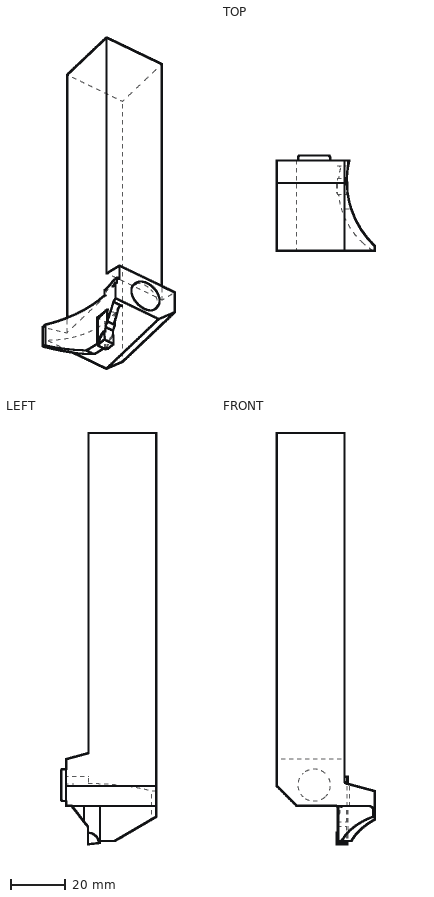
import cadquery as cq
import math

shank_size = 25.0
tip_to_end = 151.35

head_bottom = 14.2
head_depth = 33.25
head_right = 36.05
corner_chamfer = 7.3
shoulder_angle = 15.0
shoulder_fillet = 0.5
right_shoulder_z = 22.6
back_shoulder_z = 33.6
shoulder_slope = math.tan(math.radians(shoulder_angle))

ledge_right = 26.2
ledge_top = 24.9

convex_radius = 28.0
convex_center_y = 23.5
convex_left = 22.6
hollow_radius = 32.5
hollow_center_y = 25.5
hollow_left = 25.8
blade_bottom = 1.2
blade_front_z = 10.2
blade_heel_y = 15.4
blade_root_fillet = 1.2
select_margin = 0.1

insert_center_x = 24.0
insert_width = 3.4
insert_tip_width = 4.2
insert_bottom_y = 20.7
insert_top_y = 26.6
rake_y = 25.2
rake_end_z = 6.5
jaw_foot_z = 8.2
jaw_root_y = 31.2
end_relief = 0.5
tip_flank_y = 21.2
tip_flank_z = 4.3

screw_diameter = 11.86
screw_x = 13.75
screw_z = 21.8
screw_height = 1.85
screw_edge_round = 0.8


def upright_cylinder(radius, left_x, center_y):
    """Cylinder along Z whose leftmost line is at left_x, as tall as the tool."""
    return (
        cq.Workplane("XY")
        .center(left_x + radius, center_y)
        .circle(radius)
        .extrude(tip_to_end)
    )


def make_body():
    """Shank and head: the shared part of a front and a side outline, with the ledge."""
    side_reach = head_right - shank_size
    front_outline = (
        cq.Workplane("XZ")
        .moveTo(corner_chamfer, head_bottom)
        .lineTo(head_right, head_bottom)
        .lineTo(head_right, right_shoulder_z - side_reach * shoulder_slope)
        .lineTo(shank_size, right_shoulder_z)
        .lineTo(shank_size, tip_to_end)
        .lineTo(0, tip_to_end)
        .lineTo(0, head_bottom + corner_chamfer)
        .close()
        .extrude(-head_depth)
    )
    front_corner = cq.selectors.NearestToPointSelector((shank_size, head_depth / 2, right_shoulder_z))
    front_outline = front_outline.edges(front_corner).fillet(shoulder_fillet)
    back_reach = head_depth - shank_size
    side_outline = (
        cq.Workplane("YZ")
        .moveTo(0, head_bottom)
        .lineTo(head_depth, head_bottom)
        .lineTo(head_depth, back_shoulder_z - back_reach * shoulder_slope)
        .lineTo(shank_size, back_shoulder_z)
        .lineTo(shank_size, tip_to_end)
        .lineTo(0, tip_to_end)
        .close()
        .extrude(head_right)
    )
    back_corner = cq.selectors.NearestToPointSelector((head_right / 2, shank_size, back_shoulder_z))
    side_outline = side_outline.edges(back_corner).fillet(shoulder_fillet)
    ledge = cq.Workplane("XY").box(
        ledge_right - shank_size,
        back_reach,
        ledge_top - head_bottom,
        centered=False,
    ).translate((shank_size, shank_size, head_bottom))
    return front_outline.intersect(side_outline).union(ledge)


def make_blade():
    """Curved plate below the head, trimmed to its sloping side outline."""
    outline = (
        cq.Workplane("YZ")
        .moveTo(0, head_bottom)
        .lineTo(0, blade_front_z)
        .lineTo(blade_heel_y, blade_bottom)
        .lineTo(insert_bottom_y, blade_bottom)
        .lineTo(insert_top_y, jaw_foot_z)
        .lineTo(jaw_root_y, head_bottom)
        .close()
        .extrude(head_right)
    )
    convex_side = upright_cylinder(convex_radius, convex_left, convex_center_y)
    return outline.intersect(convex_side)


def make_holder():
    """Holder with its clamp screw head and the open slot for the insert."""
    holder = make_body().union(make_blade())
    root_line = cq.selectors.BoxSelector(
        (0, 0, head_bottom - select_margin),
        (head_right, head_depth, head_bottom + select_margin),
        boundingbox=False,
    )
    holder = holder.edges(root_line).edges("%CIRCLE").fillet(blade_root_fillet)
    holder = holder.cut(upright_cylinder(hollow_radius, hollow_left, hollow_center_y))
    slot = cq.Workplane("XY").box(
        head_right,
        insert_top_y - insert_bottom_y,
        head_bottom,
        centered=False,
    )
    holder = holder.cut(slot.translate((0, insert_bottom_y, 0)))
    screw_head = (
        cq.Workplane("XZ", origin=(screw_x, head_depth, screw_z))
        .circle(screw_diameter / 2)
        .extrude(-screw_height)
        .faces(">Y")
        .edges()
        .fillet(screw_edge_round)
    )
    return holder.union(screw_head)


def make_insert():
    """Cutting insert with a stepped rake side and a wider rounded tip."""
    left_plane = cq.Workplane("YZ", origin=(insert_center_x, 0, 0))
    bar = (
        left_plane
        .moveTo(rake_y, 0)
        .lineTo(rake_y, rake_end_z)
        .lineTo(insert_top_y, jaw_foot_z)
        .lineTo(insert_top_y, head_bottom)
        .lineTo(insert_bottom_y, head_bottom)
        .lineTo(insert_bottom_y, end_relief)
        .close()
        .extrude(insert_width / 2, both=True)
    )
    relief_slope = end_relief / (rake_y - insert_bottom_y)
    flank_foot_z = (rake_y - tip_flank_y) * relief_slope
    mid_angle = math.radians(45)
    flank_middle = (
        rake_y - (rake_y - tip_flank_y) * math.cos(mid_angle),
        flank_foot_z + (tip_flank_z - flank_foot_z) * math.sin(mid_angle),
    )
    tip = (
        left_plane
        .moveTo(rake_y, 0)
        .lineTo(rake_y, tip_flank_z)
        .threePointArc(flank_middle, (tip_flank_y, flank_foot_z))
        .close()
        .extrude(insert_tip_width / 2, both=True)
    )
    return bar.union(tip)


holder = make_holder()
insert = make_insert()
result = cq.Compound.makeCompound([holder.val(), insert.val()])